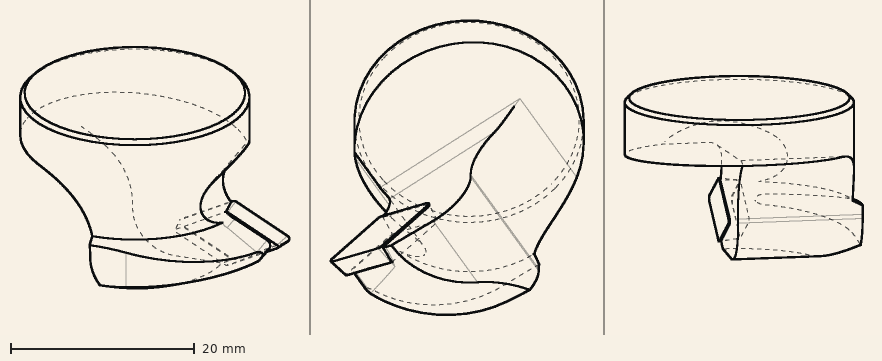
import cadquery as cq
import math

total_length = 30.37
total_width = 26.12

head_radius = 25.0 / 2
head_chamfer = 0.5
height = 18.8
flare_angle = 26.5
flare_top_depth = 11.8
foot_bottom_radius = 10.08
foot_front = total_width - head_radius
foot_round_radius = 13.5
foot_round_center_x = 3.83

underside_angle = 5.0
shank_left_x = -0.33
neck_radius = 8.0
neck_center_depth = 13.4
heel_radius = 4.95
nose_depth = 14.73
nose_tip_x = 16.5
nose_radius = 0.7
nose_half_angle = 29.0
shoulder_x = 11.42
bottom_right_x = 10.4
groove_end_x = 12.35
groove_end_depth = 12.18
groove_radius = 3.5
groove_left_x = 10.17
groove_center_depth = 8.85
groove_exit_angle = 45.0

rake_offset = 0.3
rake_turn = 1.2
rake_lean = 0.7
rake_fillet = 1.2

insert_half_angle = 27.5
insert_circle = 6.35
insert_thickness = 2.37
insert_relief = 7.0
insert_top_corner = 0.4
insert_bottom_corner = 0.2
insert_tip_x = total_length - head_radius
insert_rake_offset = 0.35

clearance = 18.22


def polar(center, radius, angle):
    """Point at the given angle in degrees on a circle."""
    turn = math.radians(angle)
    return (center[0] + radius * math.cos(turn), center[1] + radius * math.sin(turn))


def make_head():
    """Chamfered head cylinder, narrowed at the bottom by the lower foot cone."""
    return (
        cq.Workplane("XY").workplane(offset=-height).circle(head_radius).extrude(height)
        .faces(">Z").edges().chamfer(head_chamfer)
        .intersect(make_lower_cone_limit())
    )


def cone_outline():
    """Points where the two foot cones meet each other, the head and the bottom."""
    slope = math.tan(math.radians(flare_angle))
    rim_radius = (height - flare_top_depth) / (2 * slope) + (head_radius + foot_bottom_radius) / 2
    rim_z = -flare_top_depth - (rim_radius - head_radius) * slope
    return (head_radius, -flare_top_depth), (rim_radius, rim_z), (foot_bottom_radius, -height)


def make_lower_cone_limit():
    """Wide cylinder that narrows along the lower foot cone."""
    _, rim, bottom = cone_outline()
    return (
        cq.Workplane("XZ").polyline([(0, 0), (rim[0], 0), rim, bottom, (0, -height)]).close()
        .revolve(360, (0, 0, 0), (0, 1, 0))
    )


def make_foot():
    """Double cone around the head axis, trimmed to the plan outline of the foot."""
    top, rim, bottom = cone_outline()
    cones = (
        cq.Workplane("XZ").polyline([(0, top[1]), top, rim, bottom, (0, -height)]).close()
        .revolve(360, (0, 0, 0), (0, 1, 0))
    )
    center = (foot_round_center_x, foot_round_radius - foot_front)
    plan = (
        cq.Workplane("XY").workplane(offset=-height)
        .moveTo(-clearance, -foot_front).lineTo(center[0], -foot_front)
        .threePointArc(polar(center, foot_round_radius, -45), polar(center, foot_round_radius, 0))
        .lineTo(center[0] + foot_round_radius, clearance).lineTo(-clearance, clearance).close()
        .extrude(height)
    )
    return cones.intersect(plan)


def make_side_profile():
    """Prism along Y: sloping underside, neck arc, heel arc, nose and relief groove."""
    neck = (shank_left_x - neck_radius, -neck_center_depth)
    neck_start = polar(neck, neck_radius, 90 - underside_angle)
    left_x = -clearance
    left_z = neck_start[1] + (neck_start[0] - left_x) * math.tan(math.radians(underside_angle))
    heel = (shank_left_x + heel_radius, heel_radius - height)

    slope = math.tan(math.radians(nose_half_angle))
    nose = (nose_tip_x - nose_radius, -nose_depth)
    apex_x = nose[0] + nose_radius / math.sin(math.radians(nose_half_angle))
    shoulder = (shoulder_x, (shoulder_x - apex_x) * slope - nose_depth)
    groove_end = (groove_end_x, -groove_end_depth)

    groove = (groove_left_x + groove_radius, -groove_center_depth)
    groove_start = polar(groove, groove_radius, 180 - groove_exit_angle)
    exit_run = -groove_start[1] / math.tan(math.radians(groove_exit_angle))

    return (
        cq.Workplane("XZ").workplane(offset=-clearance)
        .moveTo(left_x, 0).lineTo(left_x, left_z).lineTo(*neck_start)
        .threePointArc(polar(neck, neck_radius, 45 - underside_angle / 2), (shank_left_x, neck[1]))
        .lineTo(shank_left_x, heel[1])
        .threePointArc(polar(heel, heel_radius, 225), (heel[0], -height))
        .lineTo(bottom_right_x, -height).lineTo(*shoulder)
        .lineTo(*polar(nose, nose_radius, nose_half_angle - 90))
        .threePointArc((nose_tip_x, nose[1]), polar(nose, nose_radius, 90 - nose_half_angle))
        .lineTo(*groove_end)
        .threePointArc((groove_left_x, groove[1]), groove_start)
        .lineTo(groove_start[0] + exit_run, 0).close()
        .extrude(2 * clearance)
    )


def make_rake_cutter():
    """Block behind the rake face and below the head, its inner edge rounded."""
    slope = math.tan(math.radians(underside_angle))
    neck_top = neck_radius / math.cos(math.radians(underside_angle)) - neck_center_depth
    depth = 2 * clearance
    lean_run = depth * math.tan(math.radians(rake_lean))
    top_at_axis = neck_top + (shank_left_x - neck_radius) * slope
    return (
        cq.Workplane("YZ").workplane(offset=-clearance)
        .polyline([(0, 0), (clearance, 0), (clearance, -depth), (-lean_run, -depth)]).close()
        .extrude(2 * clearance)
        .edges(cq.selectors.NearestToPointSelector((0, 0, 0))).fillet(rake_fillet)
        .rotate((0, 0, 0), (0, 0, 1), -rake_turn)
        .rotate((0, 0, 0), (0, 1, 0), underside_angle)
        .translate((0, rake_offset, top_at_axis))
    )


def rounded_rhombus(depth, circle_radius, corner_radius):
    """Rhombus wire in a plane parallel to XZ, around the origin, at Y = -depth."""
    half_length = circle_radius / math.sin(math.radians(insert_half_angle))
    half_width = circle_radius / math.cos(math.radians(insert_half_angle))
    corners = [(half_length, 0), (0, half_width), (-half_length, 0), (0, -half_width)]
    rhombus = cq.Workplane("XZ").workplane(offset=depth).polyline(corners).close().wires().val()
    return rhombus.fillet2D(corner_radius, rhombus.Vertices())


def make_insert():
    """Solid rhombus insert that narrows from its rake face toward its seat."""
    inset = insert_thickness * math.tan(math.radians(insert_relief))
    circle_radius = insert_circle / 2
    top = rounded_rhombus(0, circle_radius, insert_top_corner)
    bottom = rounded_rhombus(insert_thickness, circle_radius - inset, insert_bottom_corner)
    blank = cq.Workplane(cq.Solid.makeLoft([top, bottom], True))
    center_to_tip = (
        (circle_radius - insert_top_corner) / math.sin(math.radians(insert_half_angle)) + insert_top_corner
    )
    center_x = insert_tip_x - center_to_tip
    center_y = insert_rake_offset - center_x * math.tan(math.radians(rake_turn))
    return (
        blank.rotate((0, 0, 0), (0, 0, 1), -rake_turn)
        .translate((center_x, center_y, -nose_depth))
    )


def make_holder(insert):
    """Head and foot cut to the side profile and rake face, with a pocket for the insert."""
    return (
        make_head().union(make_foot())
        .intersect(make_side_profile())
        .cut(make_rake_cutter())
        .cut(insert)
    )


insert = make_insert()
holder = make_holder(insert)
result = cq.Compound.makeCompound([holder.solids().val(), insert.val()])